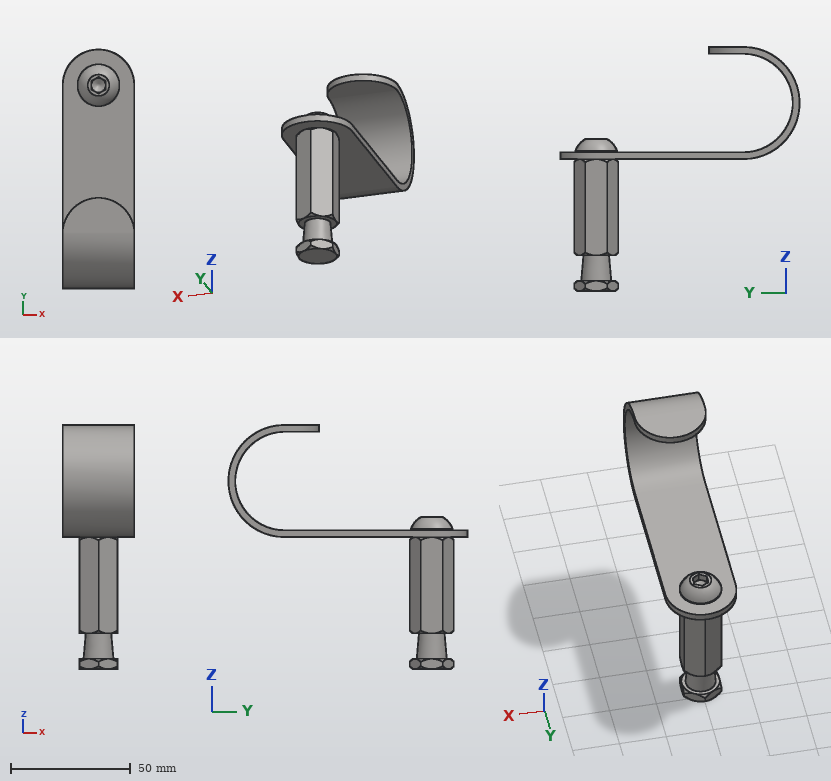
import cadquery as cq
import math

strip_width = 30.0
strip_thickness = 3.0
overall_length = 100.0
bend_outer_diameter = 46.9
overall_height = 102.0
tip_overhang = 14.5
end_radius = strip_width / 2
bend_outer_radius = bend_outer_diameter / 2
bend_inner_radius = bend_outer_radius - strip_thickness
strip_bottom = overall_height - bend_outer_diameter
strip_top = strip_bottom + strip_thickness
straight_length = overall_length - bend_outer_radius - end_radius

hex_across_flats = 16.0
hex_turn = 30.0
foot_height = 4.3
post_height = 40.2
neck_top_radius = 5.4
neck_bottom_radius = 6.3
post_bottom = strip_bottom - post_height

head_radius = 8.8
head_height = 5.5
head_rim_height = 0.5
head_flat_radius = 4.5
socket_across_flats = 6.0
socket_depth = 3.1
socket_tip_angle = 120.0


def corner_distance(across_flats):
    """Distance between opposite corners of a hexagon."""
    return across_flats / math.cos(math.pi / 6)


def hex_prism(across_flats, height, bottom):
    """Upright hexagon with flats facing +X and -X."""
    across_corners = corner_distance(across_flats)
    prism = cq.Workplane("XY").polygon(6, across_corners).extrude(height)
    return prism.rotate((0, 0, 0), (0, 0, 1), hex_turn).translate((0, 0, bottom))


def chamfered_hex(across_flats, height, bottom):
    """Hexagon whose corners are turned off at 45 degrees down to the inscribed circle."""
    flat_radius = across_flats / 2
    corner_radius = corner_distance(across_flats) / 2
    chamfer = corner_radius - flat_radius
    envelope = (
        cq.Workplane("XY", origin=(0, 0, bottom))
        .circle(corner_radius)
        .extrude(height)
        .faces("<Z or >Z")
        .chamfer(chamfer)
    )
    return hex_prism(across_flats, height, bottom).intersect(envelope)


def rounded_end_outline(end_center_y, bottom, height):
    """Block as wide as the strip, from beyond the bend to a half-round end."""
    bend_limit = -straight_length - bend_outer_radius
    half_width = strip_width / 2
    return (
        cq.Workplane("XY", origin=(0, 0, bottom))
        .moveTo(-half_width, bend_limit)
        .lineTo(half_width, bend_limit)
        .lineTo(half_width, end_center_y)
        .threePointArc((0, end_center_y + half_width), (-half_width, end_center_y))
        .close()
        .extrude(height)
    )


def make_hook():
    bend_start = -straight_length
    bend_center_z = strip_bottom + bend_outer_radius
    tip = bend_start + tip_overhang
    side_profile = (
        cq.Workplane("YZ", origin=(-strip_width / 2, 0, 0))
        .moveTo(end_radius, strip_bottom)
        .lineTo(bend_start, strip_bottom)
        .threePointArc((bend_start - bend_outer_radius, bend_center_z), (bend_start, overall_height))
        .lineTo(tip, overall_height)
        .lineTo(tip, overall_height - strip_thickness)
        .lineTo(bend_start, overall_height - strip_thickness)
        .threePointArc((bend_start - bend_inner_radius, bend_center_z), (bend_start, strip_top))
        .lineTo(end_radius, strip_top)
        .close()
        .extrude(strip_width)
    )
    lower_arm = rounded_end_outline(0, strip_bottom, bend_outer_radius)
    upper_arm = rounded_end_outline(tip - end_radius, strip_bottom + bend_outer_radius, bend_outer_radius)
    return side_profile.intersect(lower_arm.union(upper_arm))


def make_stand():
    foot = chamfered_hex(hex_across_flats, foot_height, 0)
    post = chamfered_hex(hex_across_flats, post_height, post_bottom)
    neck = (
        cq.Workplane("YZ")
        .moveTo(0, foot_height)
        .lineTo(neck_bottom_radius, foot_height)
        .lineTo(neck_top_radius, post_bottom)
        .lineTo(0, post_bottom)
        .close()
        .revolve(360, (0, 0, 0), (0, 1, 0))
    )
    return foot.union(neck).union(post)


def make_socket(head_top):
    """Hexagonal socket that ends in a shallow drill cone."""
    drill_radius = socket_across_flats / 2
    cone_depth = drill_radius / math.tan(math.radians(socket_tip_angle / 2))
    socket_floor = head_top - socket_depth
    socket = hex_prism(socket_across_flats, socket_depth, socket_floor)
    tip = (
        cq.Workplane("YZ")
        .moveTo(0, socket_floor)
        .lineTo(drill_radius, socket_floor)
        .lineTo(0, socket_floor - cone_depth)
        .close()
        .revolve(360, (0, 0, 0), (0, 1, 0))
    )
    return socket.union(tip)


def make_screw():
    rim_top = strip_top + head_rim_height
    head_top = strip_top + head_height
    dome_rise = head_height - head_rim_height
    center_drop = (head_radius**2 - head_flat_radius**2 - dome_rise**2) / (2 * dome_rise)
    dome_radius = math.hypot(head_radius, center_drop)
    dome_mid_z = rim_top + dome_rise / 2
    dome_mid_radius = math.sqrt(dome_radius**2 - (center_drop + dome_rise / 2) ** 2)
    head = (
        cq.Workplane("YZ")
        .moveTo(0, strip_top)
        .lineTo(head_radius, strip_top)
        .lineTo(head_radius, rim_top)
        .threePointArc((dome_mid_radius, dome_mid_z), (head_flat_radius, head_top))
        .lineTo(0, head_top)
        .close()
        .revolve(360, (0, 0, 0), (0, 1, 0))
    )
    return head.cut(make_socket(head_top))


hook = make_hook()
stand = make_stand()
screw = make_screw()

result = cq.Compound.makeCompound([hook.val(), stand.val(), screw.val()])